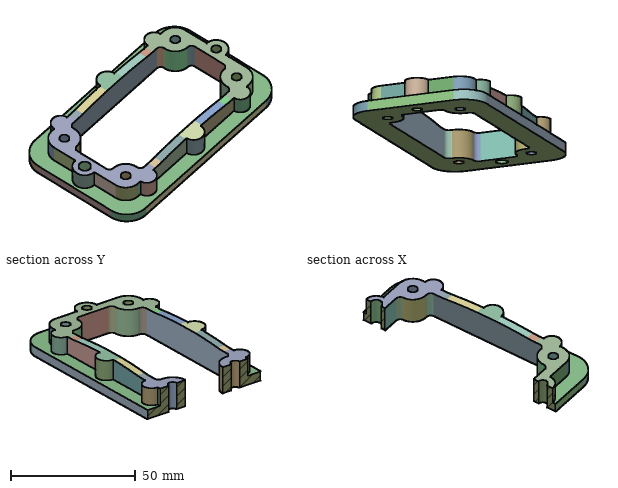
import cadquery as cq
import math

base_width = 58.0
base_length = 96
base_height = 4.2
base_corner_radius = 10.0

ring_top = 11.9
boss_x = 16.0
boss_y = 35.0
boss_radius = 6.5
boss_points = [(sx * boss_x, sy * boss_y) for sx in (-1, 1) for sy in (-1, 1)]
ring_half_width = boss_x + boss_radius
ring_half_length = boss_y + boss_radius

inner_fillet = 2.0
opening_half_width = 18.6
opening_half_length = boss_y + inner_fillet

end_lug_radius = 5.0
side_lug_radius = 4.0
side_lug_y = 29.6
middle_lug_radius = 4.4

screw_hole_diameter = 4.0
large_hole_diameter = 5.0

crown_top = 13.1
crown_flat_half_length = 5.0
crown_radius = 198.7
crown_blend_radius = 39.4


def posts(points, radius, height):
    return cq.Workplane("XY").pushPoints(points).circle(radius).extrude(height)


def make_base():
    plate = cq.Workplane("XY").box(base_width, base_length, base_height, centered=(True, True, False))
    return plate.edges("|Z").fillet(base_corner_radius)


def make_ring():
    ring = cq.Workplane("XY").rect(2 * ring_half_width, 2 * ring_half_length).extrude(ring_top)
    ring = ring.edges("|Z").fillet(boss_radius)
    end_lugs = [(0, side * ring_half_length) for side in (-1, 1)]
    side_lugs = [(sx * ring_half_width, sy * side_lug_y) for sx in (-1, 1) for sy in (-1, 1)]
    ring = ring.union(posts(end_lugs, end_lug_radius, ring_top))
    return ring.union(posts(side_lugs, side_lug_radius, ring_top))


def make_crowns():
    """Crown on both long walls: flat middle, convex flanks, concave blends into the ring top."""
    center_z = crown_top - math.sqrt(crown_radius**2 - crown_flat_half_length**2)
    blend_center_z = ring_top + crown_blend_radius
    center_distance = crown_radius + crown_blend_radius
    end_y = math.sqrt(center_distance**2 - (blend_center_z - center_z) ** 2)
    tangent_angle = math.asin(end_y / center_distance)
    flat_angle = math.asin(crown_flat_half_length / crown_radius)

    def flank_point(angle):
        return crown_radius * math.sin(angle), center_z + crown_radius * math.cos(angle)

    def blend_point(angle):
        y = end_y - crown_blend_radius * math.sin(angle)
        return y, blend_center_z - crown_blend_radius * math.cos(angle)

    def mirrored(point):
        return -point[0], point[1]

    flat_end = flank_point(flat_angle)
    flank_middle = flank_point((flat_angle + tangent_angle) / 2)
    flank_end = flank_point(tangent_angle)
    blend_middle = blend_point(tangent_angle / 2)
    blend_end = (end_y, ring_top)

    profile = (
        cq.Workplane("YZ")
        .moveTo(-end_y, base_height)
        .lineTo(*mirrored(blend_end))
        .threePointArc(mirrored(blend_middle), mirrored(flank_end))
        .threePointArc(mirrored(flank_middle), mirrored(flat_end))
        .lineTo(*flat_end)
        .threePointArc(flank_middle, flank_end)
        .threePointArc(blend_middle, blend_end)
        .lineTo(end_y, base_height)
        .close()
    )
    crowns = profile.extrude(ring_half_width, both=True)
    middle_lugs = [(side * ring_half_width, 0) for side in (-1, 1)]
    return crowns.union(posts(middle_lugs, middle_lug_radius, crown_top))


def make_opening():
    """Rectangular opening that steps around the four corner bosses."""
    wide = cq.Workplane("XY").rect(2 * opening_half_width, 2 * (boss_y - boss_radius)).extrude(crown_top)
    narrow = cq.Workplane("XY").rect(2 * (boss_x - boss_radius), 2 * opening_half_length).extrude(crown_top)
    corners = cq.Workplane("XY").rect(2 * boss_x, 2 * boss_y).extrude(crown_top)
    corners = corners.cut(posts(boss_points, boss_radius, crown_top))
    wide = wide.edges("|Z").fillet(inner_fillet)
    narrow = narrow.edges("|Z").fillet(inner_fillet)
    return wide.union(narrow).union(corners)


def make_holes():
    small_holes = boss_points + [(0, ring_half_length)]
    holes = posts(small_holes, screw_hole_diameter / 2, ring_top)
    return holes.union(posts([(0, -ring_half_length)], large_hole_diameter / 2, ring_top))


body = make_base().union(make_ring()).union(make_crowns())
result = body.cut(make_opening()).cut(make_holes())